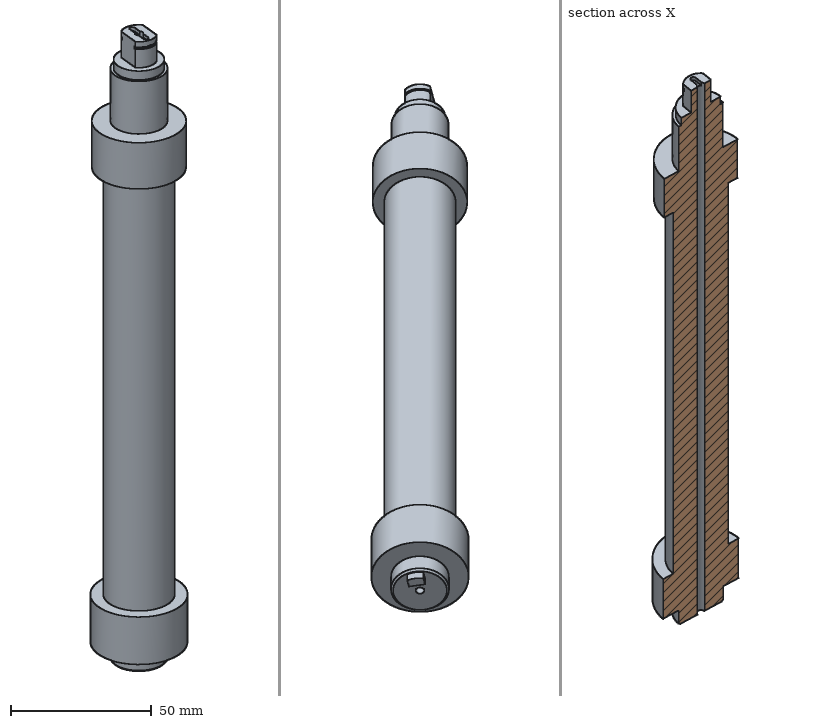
import cadquery as cq

pin_height = 3.0
lower_collar_base = 10.0
lower_collar_top = 29.0
upper_collar_base = 200.6
upper_collar_top = 219.2
spindle_top = 240.3
neck_top = 244.0
overall_height = 254.3

stub_diameter = 20.5
lower_collar_diameter = 34.5
tube_diameter = 25.5
upper_collar_diameter = 33.5
spindle_diameter = 20.3
neck_diameter = 18.0
tang_diameter = 13.0
bore_diameter = 3.0
stub_chamfer = 0.8

tang_thickness = 9.2
groove_base = 251.2
groove_width = 0.8
groove_depth = 0.5
slot_length = 10.7
slot_width = 2.0
slot_depth = 1.5

pin_width = 5.8
pin_outer_radius = 9.2
pin_inner_offset = 5.5


def cylinder(diameter, base, top):
    return cq.Workplane("XY").workplane(offset=base).circle(diameter / 2).extrude(top - base)


def make_shaft():
    shaft = cylinder(stub_diameter, pin_height, lower_collar_base).faces("<Z").chamfer(stub_chamfer)
    sections = [
        (lower_collar_diameter, lower_collar_base, lower_collar_top),
        (tube_diameter, lower_collar_top, upper_collar_base),
        (upper_collar_diameter, upper_collar_base, upper_collar_top),
        (spindle_diameter, upper_collar_top, spindle_top),
        (neck_diameter, spindle_top, neck_top),
    ]
    for diameter, base, top in sections:
        shaft = shaft.union(cylinder(diameter, base, top))
    return shaft


def make_tang():
    groove_top = groove_base + groove_width
    groove_diameter = tang_diameter - 2 * groove_depth
    tang = (
        cylinder(tang_diameter, neck_top, groove_base)
        .union(cylinder(groove_diameter, groove_base, groove_top))
        .union(cylinder(tang_diameter, groove_top, overall_height))
    )
    flats = cq.Workplane("XY").box(tang_diameter, tang_thickness, 2 * overall_height)
    slot = (
        cq.Workplane("XY")
        .workplane(offset=overall_height - slot_depth)
        .slot2D(slot_length, slot_width)
        .extrude(slot_depth)
    )
    return tang.intersect(flats).cut(slot)


def make_drive_pin():
    radial_length = pin_outer_radius - pin_inner_offset
    block = (
        cq.Workplane("XY")
        .center(-pin_inner_offset - radial_length / 2, 0)
        .rect(radial_length, pin_width)
        .extrude(pin_height)
    )
    return block.intersect(cylinder(2 * pin_outer_radius, 0, pin_height))


bore = cylinder(bore_diameter, 0, overall_height)
result = make_shaft().union(make_tang()).union(make_drive_pin()).cut(bore)